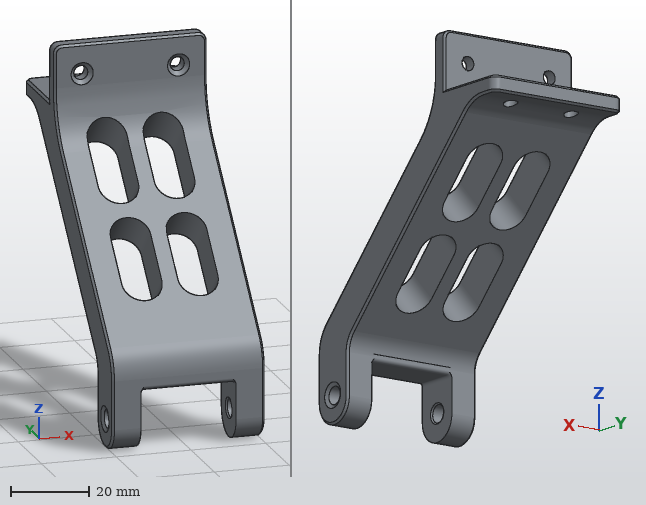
import cadquery as cq
import math

WIDTH = 40.84
DEPTH = 75.76
HEIGHT = 94.45
EDGE_CHAMFER = 0.6

FLANGE_THICKNESS = 4.4
FLANGE_CORNER_RADIUS = 2.2
UPRIGHT_FRONT_Y = 50.0
REAR_TOP_Z = 78.45

ARM_ANGLE = 45.0
ARM_THICKNESS = 11.4
UPRIGHT_BLEND_RADIUS = 21.8
REAR_BLEND_RADIUS = 11.0
FORK_FRONT_RADIUS = 11.2
FORK_BACK_RADIUS = 7.2

LUG_DEPTH = 12.75
FORK_GAP = 25.4
FORK_ROOF_Z = 16.4
FORK_ROOF_RADIUS = 1.0
FORK_CORNER_RADIUS = 0.95
PIN_DIAMETER = 4.8
PIN_Z = 7.65
PIN_OUTER_RECESS_DIAMETER = 6.9
PIN_OUTER_RECESS_DEPTH = 0.6
PIN_INNER_RECESS_DIAMETER = 5.6
PIN_INNER_RECESS_DEPTH = 0.4

SCREW_DIAMETER = 3.7
SCREW_RECESS_DIAMETER = 5.9
SCREW_RECESS_DEPTH = 1.1
UPRIGHT_SCREW_SPACING = 25.8
UPRIGHT_SCREW_FROM_TOP = 8.0
REAR_SCREW_SPACING = 19.2
REAR_SCREW_FROM_BACK = 7.5

SLOT_WIDTH = 10.7
SLOT_LENGTH = 24.2
SLOT_COLUMN_SPACING = 15.0
SLOT_ROW_SPACING = 28.4
SLOT_GRID_CENTER_Z = 55.0

SLOPE = math.tan(math.radians(ARM_ANGLE))
REAR_BOTTOM_Z = REAR_TOP_Z - FLANGE_THICKNESS
UPRIGHT_BACK_Y = UPRIGHT_FRONT_Y + FLANGE_THICKNESS
FRONT_BEND_Z = REAR_BOTTOM_Z - UPRIGHT_FRONT_Y * SLOPE
ARM_THICKNESS_UPWARD = ARM_THICKNESS / math.cos(math.radians(ARM_ANGLE))
ARM_BACK_AT_FRONT_Z = FRONT_BEND_Z - ARM_THICKNESS_UPWARD
BACK_BEND_Z = ARM_BACK_AT_FRONT_Z + LUG_DEPTH * SLOPE
REAR_BEND_Y = (REAR_BOTTOM_Z - ARM_BACK_AT_FRONT_Z) / SLOPE


def bend_edge(body, y, z, radius):
    """Round the edge that runs across the whole width at (y, z)."""
    return body.edges(cq.NearestToPointSelector((0, y, z))).fillet(radius)


def make_body():
    """Side outline across the full width, with its bends rounded."""
    lug_radius = LUG_DEPTH / 2
    body = (
        cq.Workplane("YZ")
        .moveTo(0, lug_radius)
        .lineTo(0, FRONT_BEND_Z)
        .lineTo(UPRIGHT_FRONT_Y, REAR_BOTTOM_Z)
        .lineTo(UPRIGHT_FRONT_Y, HEIGHT)
        .lineTo(UPRIGHT_BACK_Y, HEIGHT)
        .lineTo(UPRIGHT_BACK_Y, REAR_TOP_Z)
        .lineTo(DEPTH, REAR_TOP_Z)
        .lineTo(DEPTH, REAR_BOTTOM_Z)
        .lineTo(REAR_BEND_Y, REAR_BOTTOM_Z)
        .lineTo(LUG_DEPTH, BACK_BEND_Z)
        .lineTo(LUG_DEPTH, lug_radius)
        .threePointArc((lug_radius, 0), (0, lug_radius))
        .close()
        .extrude(WIDTH / 2, both=True)
    )
    body = bend_edge(body, 0, FRONT_BEND_Z, FORK_FRONT_RADIUS)
    body = bend_edge(body, UPRIGHT_FRONT_Y, REAR_BOTTOM_Z, UPRIGHT_BLEND_RADIUS)
    body = bend_edge(body, REAR_BEND_Y, REAR_BOTTOM_Z, REAR_BLEND_RADIUS)
    return bend_edge(body, LUG_DEPTH, BACK_BEND_Z, FORK_BACK_RADIUS)


def round_flange_corners(body):
    """Round the two outer corners of each flange."""
    body = body.faces(">Z").edges("|Y").fillet(FLANGE_CORNER_RADIUS)
    return body.faces(">Y").edges("|Z").fillet(FLANGE_CORNER_RADIUS)


def chamfer_outline(body):
    """Chamfer the rims of both sides and both flanges.

    One starting edge is named for each rim, and on the arm one for each side; the
    chamfer follows the tangent bends from there, around the ends of the flanges.
    """
    side_x = WIDTH / 2
    arm_rim_z = (LUG_DEPTH / 2 + FRONT_BEND_Z) / 2
    left_arm_rim = cq.NearestToPointSelector((-side_x, 0, arm_rim_z))
    right_arm_rim = cq.NearestToPointSelector((side_x, 0, arm_rim_z))
    upright_rim = cq.NearestToPointSelector((side_x, UPRIGHT_BACK_Y, (REAR_TOP_Z + HEIGHT) / 2))
    rear_rim = cq.NearestToPointSelector((side_x, (UPRIGHT_BACK_Y + DEPTH) / 2, REAR_TOP_Z))
    rims = left_arm_rim + right_arm_rim + upright_rim + rear_rim
    return body.edges(rims).chamfer(EDGE_CHAMFER)


def cut_fork_gap(body):
    """Open the gap between the lugs, with its roof rounded over and blended into the lugs."""
    rim_z = FORK_ROOF_Z + FORK_ROOF_RADIUS
    top_z = rim_z + FORK_ROOF_RADIUS
    front_y = -LUG_DEPTH
    back_y = 2 * LUG_DEPTH
    gap = (
        cq.Workplane("YZ")
        .moveTo(front_y, 0)
        .lineTo(front_y, top_z)
        .lineTo(0, top_z)
        .lineTo(0, rim_z)
        .tangentArcPoint((FORK_ROOF_RADIUS, FORK_ROOF_Z), relative=False)
        .lineTo(LUG_DEPTH - FORK_ROOF_RADIUS, FORK_ROOF_Z)
        .tangentArcPoint((LUG_DEPTH, rim_z), relative=False)
        .lineTo(LUG_DEPTH, top_z)
        .lineTo(back_y, top_z)
        .lineTo(back_y, 0)
        .close()
        .extrude(FORK_GAP / 2, both=True)
    )
    roof_y = LUG_DEPTH / 2
    right_edge = cq.NearestToPointSelector((FORK_GAP / 2, roof_y, FORK_ROOF_Z))
    left_edge = cq.NearestToPointSelector((-FORK_GAP / 2, roof_y, FORK_ROOF_Z))
    return body.cut(gap.edges(left_edge + right_edge).fillet(FORK_CORNER_RADIUS))


def cut_slots(body):
    """Cut the round-ended slots square to the arm's sloping faces."""
    angle = math.radians(ARM_ANGLE)
    arm_face = cq.Plane(
        origin=(0, (SLOT_GRID_CENTER_Z - FRONT_BEND_Z) / SLOPE, SLOT_GRID_CENTER_Z),
        xDir=(1, 0, 0),
        normal=(0, -math.sin(angle), math.cos(angle)),
    )
    slots = (
        cq.Workplane(arm_face)
        .rarray(SLOT_COLUMN_SPACING, SLOT_ROW_SPACING, 2, 2)
        .slot2D(SLOT_LENGTH, SLOT_WIDTH, 90)
        .extrude(2 * ARM_THICKNESS, both=True)
    )
    return body.cut(slots)


def cut_hole(body, start, direction, diameter, depth):
    """Cut a round hole from the start point along the direction."""
    hole = cq.Solid.makeCylinder(diameter / 2, depth, cq.Vector(*start), cq.Vector(*direction))
    return body.cut(cq.Workplane(hole))


def cut_recess(body, start, direction, mouth_diameter, hole_diameter, depth):
    """Cut a conical recess that narrows from its mouth to the hole diameter."""
    recess = cq.Solid.makeCone(
        mouth_diameter / 2, hole_diameter / 2, depth, cq.Vector(*start), cq.Vector(*direction)
    )
    return body.cut(cq.Workplane(recess))


def cut_upright_screw_hole(body, side):
    """Screw hole through the upright flange, countersunk at the front."""
    start = (side * UPRIGHT_SCREW_SPACING / 2, UPRIGHT_FRONT_Y, HEIGHT - UPRIGHT_SCREW_FROM_TOP)
    backward = (0, 1, 0)
    body = cut_hole(body, start, backward, SCREW_DIAMETER, FLANGE_THICKNESS)
    return cut_recess(
        body, start, backward, SCREW_RECESS_DIAMETER, SCREW_DIAMETER, SCREW_RECESS_DEPTH
    )


def cut_rear_screw_hole(body, side):
    """Plain screw hole through the rear flange and the start of the blend below it."""
    start = (side * REAR_SCREW_SPACING / 2, DEPTH - REAR_SCREW_FROM_BACK, REAR_TOP_Z)
    return cut_hole(body, start, (0, 0, -1), SCREW_DIAMETER, 2 * FLANGE_THICKNESS)


def cut_pin_hole(body, side):
    """Pin hole through one lug, with a conical recess on each face of the lug."""
    outward = (side, 0, 0)
    inward = (-side, 0, 0)
    outer_face = (side * WIDTH / 2, LUG_DEPTH / 2, PIN_Z)
    inner_face = (side * FORK_GAP / 2, LUG_DEPTH / 2, PIN_Z)
    lug_width = (WIDTH - FORK_GAP) / 2
    body = cut_hole(body, outer_face, inward, PIN_DIAMETER, lug_width)
    body = cut_recess(
        body, outer_face, inward, PIN_OUTER_RECESS_DIAMETER, PIN_DIAMETER, PIN_OUTER_RECESS_DEPTH
    )
    return cut_recess(
        body, inner_face, outward, PIN_INNER_RECESS_DIAMETER, PIN_DIAMETER, PIN_INNER_RECESS_DEPTH
    )


bracket = make_body()
bracket = round_flange_corners(bracket)
bracket = chamfer_outline(bracket)
bracket = cut_fork_gap(bracket)
bracket = cut_slots(bracket)
for side in (-1, 1):
    bracket = cut_upright_screw_hole(bracket, side)
    bracket = cut_rear_screw_hole(bracket, side)
    bracket = cut_pin_hole(bracket, side)

result = bracket